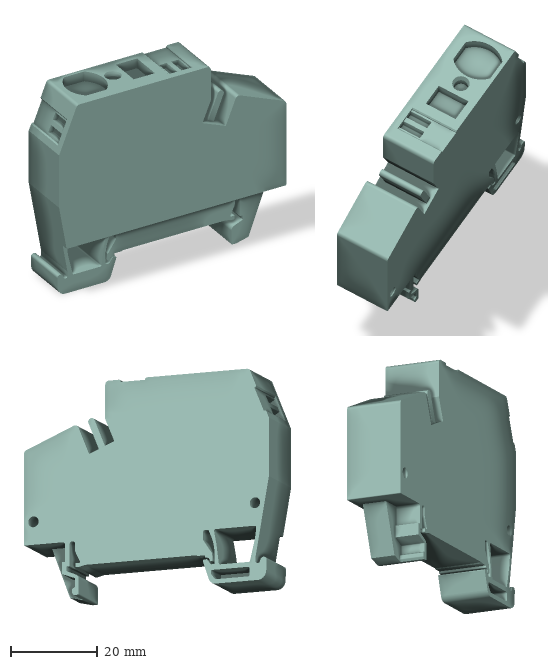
import cadquery as cq
import math

HOUSING_WIDTH = 12.05
COVER_WIDTH = 1.8
MID_X = HOUSING_WIDTH / 2
FEATURE_X = 5.95

DEPTH = 61.4
TOP_Z = 50.5
BLOCK_BOTTOM_Z = 12.95
TILT = 22.2
TILT_RUN = math.tan(math.radians(TILT))
CORNER_RADIUS = 0.9
HEEL_RADIUS = 0.2

BEVEL_TOP_Y = 4.9
BEVEL_BOTTOM_Z = TOP_Z - BEVEL_TOP_Y / TILT_RUN
TAPER_TOP_Z = 24.5
TAPER_ANGLE = 10
TAPER_RUN = math.tan(math.radians(TAPER_ANGLE))

TOP_BACK_Y = 41.0
OVERHANG_Z = 41.4
NOTCH_FRONT = (38.75, 36.0)
NOTCH_FLOOR_LENGTH = 6.8
NOTCH_WALL_LENGTH = 8.0
NOTCH_BACK = (
    NOTCH_FRONT[0] + NOTCH_FLOOR_LENGTH * math.cos(math.radians(TILT)),
    NOTCH_FRONT[1] - NOTCH_FLOOR_LENGTH * math.sin(math.radians(TILT)),
)
ROOF_PEAK = (
    NOTCH_BACK[0] + NOTCH_WALL_LENGTH * math.sin(math.radians(TILT)),
    NOTCH_BACK[1] + NOTCH_WALL_LENGTH * math.cos(math.radians(TILT)),
)
ROOF_BACK_Z = ROOF_PEAK[1] - (DEPTH - ROOF_PEAK[0]) * TILT_RUN

ROOT_Z = BLOCK_BOTTOM_Z + 1.2
ROOT_BACK_Y = 52.8
HOOK_TOP_Z = 5.4
GUTTER_Z = 4.05
GUTTER_WALL_Y = 3.3
TAPER_BOTTOM_Z = TAPER_TOP_Z - GUTTER_WALL_Y / TAPER_RUN

DIVIDER_START_X = 0.75
DIVIDER_THICKNESS = 1.65
DIVIDER_HEIGHT = 8.0
DIVIDER_ROOT = 0.3
DIVIDER_OFFSET = 3.55
DIVIDER_TIP_RADIUS = 0.8

LABEL_LENGTH = 6.75
LABEL_DEPTH = 0.55
LABEL_CHAMFER = 0.3
TOP_LABEL_Y = 34.1
BEVEL_LABEL_Z = 43.15
SLOT_START_X = 6.4
SLOT_PITCH = 3.2
SLOT_MOUTH = 1.95
SLOT_FLOOR = 1.5
SLOT_DEPTH = 1.35
SLOT_FLOOR_RADIUS = 0.2

POCKET_DEPTH = 2.6
WINDOW_SIZE = (8.1, 5.7)
WINDOW_Y = 25.3
DIAL_Y = 11.7
DIAL_SIZE = 10.1
DIAL_FLAT = 5.4
SCREW_Y = 19.2
SCREW_MOUTH_DIAMETER = 4.05
SCREW_DIAMETER = 3.2
SCREW_CONE_DEPTH = 1.05

SIDE_HOLE_DIAMETER = 2.6
SIDE_HOLE_Z = 18.4
SIDE_HOLE_YS = (3.5, 59.0)


def taper_y(z):
    """Y of the inward-leaning lower front face at height z."""
    return (TAPER_TOP_Z - z) * TAPER_RUN


def rounded_prism(corners, start_x, end_x):
    """Prism along X over a closed YZ outline given as (y, z, corner radius)."""
    ends = []
    for index, (y, z, radius) in enumerate(corners):
        corner = cq.Vector(y, z)
        before = (cq.Vector(*corners[index - 1][:2]) - corner).normalized()
        after = (cq.Vector(*corners[(index + 1) % len(corners)][:2]) - corner).normalized()
        half_angle = before.getAngle(after) / 2
        setback = radius / math.tan(half_angle)
        bisector = (before + after).normalized()
        middle = corner + bisector * (radius / math.sin(half_angle) - radius)
        ends.append((radius, corner + before * setback, middle, corner + after * setback))

    outline = cq.Workplane("YZ", origin=(start_x, 0, 0)).moveTo(*ends[0][3].toTuple()[:2])
    for radius, arc_start, arc_middle, arc_end in ends[1:] + ends[:1]:
        outline = outline.lineTo(*arc_start.toTuple()[:2])
        if radius:
            outline = outline.threePointArc(arc_middle.toTuple()[:2], arc_end.toTuple()[:2])
    return outline.close().extrude(end_x - start_x)


def block(start_x, end_x):
    """Upper block shared by the housing and the cover."""
    corners = [
        (taper_y(BLOCK_BOTTOM_Z), BLOCK_BOTTOM_Z, 0),
        (0, TAPER_TOP_Z, 0),
        (0, BEVEL_BOTTOM_Z, 0),
        (BEVEL_TOP_Y, TOP_Z, CORNER_RADIUS),
        (TOP_BACK_Y, TOP_Z, CORNER_RADIUS),
        (TOP_BACK_Y, OVERHANG_Z, 0),
        (*NOTCH_FRONT, 0),
        (*NOTCH_BACK, 0),
        (*ROOF_PEAK, CORNER_RADIUS),
        (DEPTH, ROOF_BACK_Z, CORNER_RADIUS),
        (DEPTH, BLOCK_BOTTOM_Z, HEEL_RADIUS),
    ]
    return rounded_prism(corners, start_x, end_x)


def divider():
    """Tilted plate standing on the notch floor, open to the cover side."""
    half = DIVIDER_THICKNESS / 2
    plate = rounded_prism(
        [
            (-half, -DIVIDER_ROOT, 0),
            (half, -DIVIDER_ROOT, 0),
            (half, DIVIDER_HEIGHT, DIVIDER_TIP_RADIUS),
            (-half, DIVIDER_HEIGHT, DIVIDER_TIP_RADIUS),
        ],
        DIVIDER_START_X,
        HOUSING_WIDTH,
    )
    along = DIVIDER_OFFSET / NOTCH_FLOOR_LENGTH
    y = NOTCH_FRONT[0] + along * (NOTCH_BACK[0] - NOTCH_FRONT[0])
    z = NOTCH_FRONT[1] + along * (NOTCH_BACK[1] - NOTCH_FRONT[1])
    return plate.rotate((0, 0, 0), (1, 0, 0), -TILT).translate((0, y, z))


CLIP_OUTER_EDGE = [
    (51.1, BLOCK_BOTTOM_Z, 0.6),
    (51.1, 8.2, 0),
    (51.8, 8.2, 0),
    (51.8, 5.4, 0),
    (48.55, 4.2, 0.2),
    (48.55, 2.1, 0),
    (49.3, 1.65, 0.3),
    (49.3, 0.75, 0.3),
    (48.95, 0.2, 0),
]
CLIP_INNER_EDGE = [
    (47.65, 0.2, 0.25),
    (47.65, 4.7, 1.2),
    (50.7, 6.0, 0),
    (50.7, 7.1, 0),
    (49.9, 7.1, 0),
    (49.9, BLOCK_BOTTOM_Z, 0.6),
]
RAIL_BED_EDGE = [
    (48.6, BLOCK_BOTTOM_Z, 0.5),
    (48.55, 10.55, 1.85),
    (47.2, 7.75, 0.2),
    (48.5, 7.75, 0),
    (48.5, 6.75, 0.3),
    (47.6, 6.75, 0),
    (46.1, 7.1, 0),
    (18.3, 7.1, 0),
    (17.9, 6.95, 0),
    (16.0, 6.95, 0),
    (16.0, 6.4, 0.2),
    (15.05, 6.25, 0.2),
    (14.75, 5.4, 0.2),
    (14.05, 5.4, 0.3),
    (14.25, 7.3, 0.3),
    (16.5, 10.7, 0.3),
    (16.5, BLOCK_BOTTOM_Z, 0.55),
]
FOOT_EDGE = [
    (15.15, BLOCK_BOTTOM_Z, 0.35),
    (14.0, 10.2, 7.35),
    (13.6, 7.5, 3.1),
    (13.6, 4.65, 0.3),
    (14.6, 4.65, 0.6),
    (15.55, 6.0, 0.2),
    (16.65, 5.9, 0.2),
    (14.7, 0, 1.85),
    (0.75, 0, 2.15),
    (0.55, HOOK_TOP_Z, 0.7),
    (1.9, HOOK_TOP_Z, 0.7),
    (2.4, GUTTER_Z, 0.4),
    (GUTTER_WALL_Y, GUTTER_Z, 0.35),
    (GUTTER_WALL_Y, TAPER_BOTTOM_Z, 0),
]


def lower_body():
    """Back clip, rail bed and front foot in one outline that is rooted inside the block."""
    root = [
        (taper_y(ROOT_Z), ROOT_Z, 0),
        (ROOT_BACK_Y, ROOT_Z, 0),
        (ROOT_BACK_Y, BLOCK_BOTTOM_Z, 0),
    ]
    corners = root + CLIP_OUTER_EDGE + CLIP_INNER_EDGE + RAIL_BED_EDGE + FOOT_EDGE
    return rounded_prism(corners, 0, HOUSING_WIDTH)


def back_web():
    """Gusset behind the back clip, on the cover half of the housing."""
    corners = CLIP_OUTER_EDGE + [(52.25, 1.0, 0), (56.75, BLOCK_BOTTOM_Z, 0)]
    return rounded_prism(corners, MID_X, HOUSING_WIDTH)


def foot_window():
    """Opening that leaves the front foot hanging on two spring legs."""
    corners = [
        (13.8, BLOCK_BOTTOM_Z, 0.35),
        (13.15, 9.35, 24.55),
        (12.5, 4.5, 0.3),
        (4.8, 4.5, 0.3),
        (3.45, 10.15, 18.4),
        (3.15, BLOCK_BOTTOM_Z, 0.4),
    ]
    return rounded_prism(corners, 0, HOUSING_WIDTH)


def foot_pocket():
    """Blind pocket in the side of the front foot."""
    corners = [
        (14.5, 3.3, 0.25),
        (4.85, 3.3, 0.35),
        (4.85, 1.05, 0.35),
        (13.45, 1.05, 0.6),
        (14.5, 2.35, 0.6),
    ]
    return rounded_prism(corners, 0, MID_X)


def label_cutter():
    """Recess with two slots, cut down from a face that lies at Z = 0 and centred on Y = 0."""
    half_mouth = LABEL_LENGTH / 2
    half_floor = half_mouth - LABEL_CHAMFER
    cutter = rounded_prism(
        [
            (-half_mouth, 0, 0),
            (-half_floor, -LABEL_CHAMFER, 0),
            (-half_floor, -LABEL_DEPTH, 0),
            (half_floor, -LABEL_DEPTH, 0),
            (half_floor, -LABEL_CHAMFER, 0),
            (half_mouth, 0, 0),
        ],
        0,
        HOUSING_WIDTH,
    )
    slot_floor_z = -LABEL_DEPTH - SLOT_DEPTH
    for middle in (-SLOT_PITCH / 2, SLOT_PITCH / 2):
        slot = rounded_prism(
            [
                (middle - SLOT_MOUTH / 2, -LABEL_DEPTH, 0),
                (middle - SLOT_FLOOR / 2, slot_floor_z, SLOT_FLOOR_RADIUS),
                (middle + SLOT_FLOOR / 2, slot_floor_z, SLOT_FLOOR_RADIUS),
                (middle + SLOT_MOUTH / 2, -LABEL_DEPTH, 0),
            ],
            SLOT_START_X,
            HOUSING_WIDTH,
        )
        cutter = cutter.union(slot)
    return cutter


def top_label():
    """Label recess in the top face."""
    return label_cutter().translate((0, TOP_LABEL_Y, TOP_Z))


def bevel_label():
    """Label recess in the front bevel."""
    y = (BEVEL_LABEL_Z - BEVEL_BOTTOM_Z) * TILT_RUN
    tilted = label_cutter().rotate((0, 0, 0), (1, 0, 0), 90 - TILT)
    return tilted.translate((0, y, BEVEL_LABEL_Z))


def top_plane(y):
    """Workplane on the top face for an opening centred at y."""
    return cq.Workplane("XY", origin=(FEATURE_X, y, TOP_Z))


def window_pocket():
    """Rectangular pocket."""
    return top_plane(WINDOW_Y).rect(*WINDOW_SIZE).extrude(-POCKET_DEPTH)


def dial_pocket():
    """Pocket with two flat sides and two bowed ends."""
    half = DIAL_SIZE / 2
    half_flat = DIAL_FLAT / 2
    return (
        top_plane(DIAL_Y)
        .moveTo(half, -half_flat)
        .lineTo(half, half_flat)
        .threePointArc((0, half), (-half, half_flat))
        .lineTo(-half, -half_flat)
        .threePointArc((0, -half), (half, -half_flat))
        .close()
        .extrude(-POCKET_DEPTH)
    )


def screw_hole():
    """Blind hole with a conical mouth."""
    hole = top_plane(SCREW_Y).circle(SCREW_DIAMETER / 2).extrude(-POCKET_DEPTH)
    mouth = (
        top_plane(SCREW_Y)
        .circle(SCREW_MOUTH_DIAMETER / 2)
        .workplane(offset=-SCREW_CONE_DEPTH)
        .circle(SCREW_DIAMETER / 2)
        .loft()
    )
    return hole.union(mouth)


def side_holes():
    """Holes across the housing, closed off by the cover."""
    centres = [(y, SIDE_HOLE_Z) for y in SIDE_HOLE_YS]
    return cq.Workplane("YZ").pushPoints(centres).circle(SIDE_HOLE_DIAMETER / 2).extrude(HOUSING_WIDTH)


def make_housing():
    """Block with the rail foot below it and all its openings."""
    body = block(0, HOUSING_WIDTH)
    for part in (divider(), lower_body(), back_web()):
        body = body.union(part)
    cutters = (
        foot_window(),
        foot_pocket(),
        top_label(),
        bevel_label(),
        window_pocket(),
        dial_pocket(),
        screw_hole(),
        side_holes(),
    )
    for cutter in cutters:
        body = body.cut(cutter)
    return body


def make_cover():
    """Plain plate that closes the +X side of the block."""
    return block(HOUSING_WIDTH, HOUSING_WIDTH + COVER_WIDTH)


housing = make_housing()
cover = make_cover()

result = cq.Compound.makeCompound([housing.val(), cover.val()])